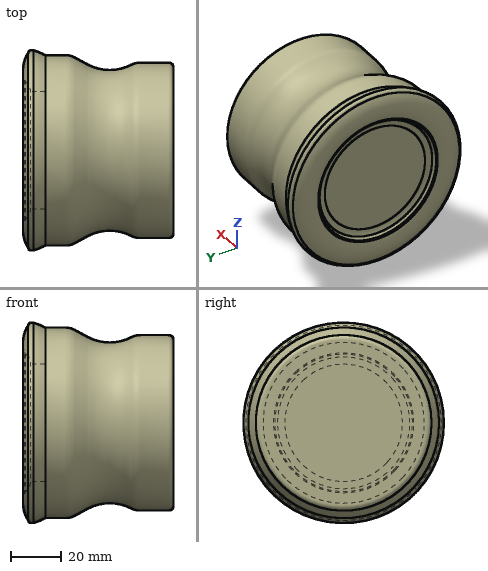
import cadquery as cq
import math

AXIS_START = (0, 0, 0)
AXIS_END = (1, 0, 0)

total_length = 60.05

shoulder_radius = 38.0
tail_radius = 35.0
tail_edge_radius = 2.0
seat_x = 9.0
shoulder_bend_x = 17.1
face_radius = 23.4
face_depth = 3.05

throat_x = 34.6
throat_radius = 32.07
flank_angle = math.radians(27.5)
bend_radius = 7.1

crown_radius = 12.2
crown_peak_radius = 32.0
crown_outer_radius = 38.9
rim_radius = 39.97
rim_front_x = 3.35
rim_back_x = 4.2
rim_bulge = 0.3
skirt_start_x = 4.75
skirt_start_radius = 39.75
skirt_mid_x = 6.6
skirt_mid_radius = 39.1
skirt_foot_x = 8.4
skirt_foot_radius = 38.2

lip_outer_radius = 27.9
lip_inner_radius = 27.4
lip_inner_x = 1.05
lip_bulge = 0.1
groove_wall_x = 2.3
groove_wall_radius = 26.3
groove_floor_sag = 0.1
groove_inner_radius = 23.8


def crown_x(radius):
    """Axial place of the domed front face at a given radius."""
    offset = radius - crown_peak_radius
    return crown_radius - math.sqrt(crown_radius**2 - offset**2)


def arc_middle(start, end, bulge):
    """Middle of an arc that bows by the bulge to the left of the chord from start to end."""
    chord_x = end[0] - start[0]
    chord_radius = end[1] - start[1]
    chord = math.hypot(chord_x, chord_radius)
    x = (start[0] + end[0]) / 2 - bulge * chord_radius / chord
    radius = (start[1] + end[1]) / 2 + bulge * chord_x / chord
    return (x, radius)


def bend_point(start_x, start_radius, direction, angle):
    """Point on a convex bend that leaves a cylinder; direction is the sign of travel along X."""
    x = start_x + direction * bend_radius * math.sin(angle)
    radius = start_radius - bend_radius * (1 - math.cos(angle))
    return (x, radius)


def make_knob():
    """Knob with a front spigot, a shoulder, a waist and a rounded tail."""
    bend_run = bend_radius * math.sin(flank_angle)
    half_flank = math.tan(flank_angle / 2)

    tail_bend_drop = bend_radius * (1 - math.cos(flank_angle))
    waist_rise = tail_radius - throat_radius - tail_bend_drop
    waist_run = waist_rise / half_flank
    waist_end = (throat_x + waist_run, throat_radius + waist_rise)
    waist_start = (throat_x - waist_run, throat_radius + waist_rise)
    tail_bend_x = waist_end[0] + bend_run

    shoulder_bend_mid = bend_point(shoulder_bend_x, shoulder_radius, 1, flank_angle / 2)
    shoulder_bend_end = bend_point(shoulder_bend_x, shoulder_radius, 1, flank_angle)
    tail_bend_mid = bend_point(tail_bend_x, tail_radius, -1, flank_angle / 2)

    outline = (
        cq.Workplane("XY")
        .moveTo(face_depth, 0)
        .lineTo(face_depth, face_radius)
        .lineTo(seat_x, face_radius)
        .lineTo(seat_x, shoulder_radius)
        .lineTo(shoulder_bend_x, shoulder_radius)
        .threePointArc(shoulder_bend_mid, shoulder_bend_end)
        .lineTo(*waist_start)
        .threePointArc((throat_x, throat_radius), waist_end)
        .threePointArc(tail_bend_mid, (tail_bend_x, tail_radius))
        .lineTo(total_length, tail_radius)
        .lineTo(total_length, 0)
        .close()
    )
    turned = outline.revolve(360, AXIS_START, AXIS_END)
    return turned.faces(">X").edges().fillet(tail_edge_radius)


def make_collar_ring():
    """Domed ring around the spigot, with a groove inside its lip and a skirt behind its rim."""
    groove_inner = (face_depth, groove_inner_radius)
    groove_wall = (groove_wall_x, groove_wall_radius)
    lip_inner = (lip_inner_x, lip_inner_radius)
    lip_outer = (crown_x(lip_outer_radius), lip_outer_radius)
    crown_outer = (crown_x(crown_outer_radius), crown_outer_radius)
    rim_front = (rim_front_x, rim_radius)

    outline = (
        cq.Workplane("XY")
        .moveTo(seat_x, face_radius)
        .lineTo(face_depth, face_radius)
        .lineTo(*groove_inner)
        .threePointArc(arc_middle(groove_inner, groove_wall, -groove_floor_sag), groove_wall)
        .lineTo(*lip_inner)
        .threePointArc(arc_middle(lip_inner, lip_outer, -lip_bulge), lip_outer)
        .threePointArc((0, crown_peak_radius), crown_outer)
        .threePointArc(arc_middle(crown_outer, rim_front, rim_bulge), rim_front)
        .lineTo(rim_back_x, rim_radius)
        .lineTo(skirt_start_x, skirt_start_radius)
        .threePointArc((skirt_mid_x, skirt_mid_radius), (skirt_foot_x, skirt_foot_radius))
        .lineTo(seat_x, shoulder_radius)
        .close()
    )
    return outline.revolve(360, AXIS_START, AXIS_END)


knob = make_knob()
collar_ring = make_collar_ring()

result = cq.Compound.makeCompound([knob.val(), collar_ring.val()])